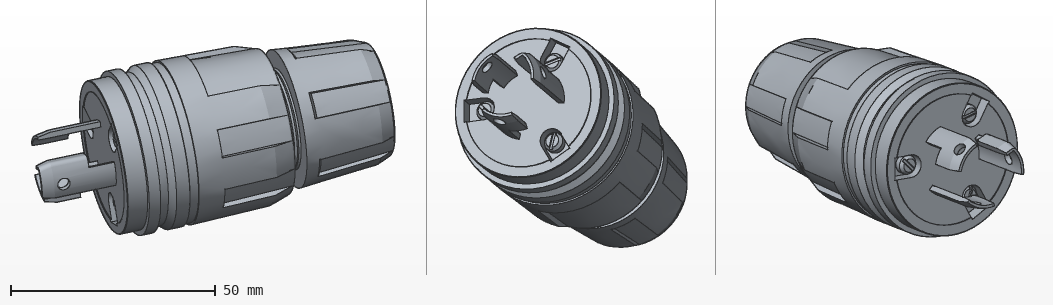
import cadquery as cq
import math


TURN_AXIS = (0, -1, 0)
ORIGIN = (0, 0, 0)

body_radius = 20.5
barrel_radius = 19.2
groove_radius = 20.1
face_chamfer = 0.2
flange_start = 5.15
flange_end = 8.1
shoulder_start = 10.5
shoulder_end = 12.2
groove_start = 15.6
groove_end = 17.9
grip_start = 24.6
pad_bevel_start = 38.1
pad_bevel_radius = 20.0
body_end_radius = 18.4
body_end = 43.3
body_lip = 0.35
body_edge_chamfer = 0.2

thread_radius = 12.8
thread_depth = 0.5
thread_pitch = 1.1
thread_start = 43.0
cap_start = 46.6

cap_end = 70.35
cap_radius = 17.3
cap_bevel_start = 66.6
cap_bevel_radius = 15.6
cap_end_radius = 14.3
cap_edge_chamfer = 0.35

body_recesses = ((160, 20), (205, 20), (250, 65))
body_floor_radius = 19.1
cap_recess_count = 6
cap_recess_angle = 22.5
cap_recess_start = 49.7
cap_recess_slope = 1.0
cap_floor_radius = 16.0
clearance = 4.4

face_radius = 16.4
face_depth = 0.3
screw_angles = (60, 180, 300)
screw_circle = 11.8
pocket_width = 5.7
pocket_outer = 16.8
pocket_depth = 3.55
screw_radius = 2.4
screw_top_radius = 1.7
screw_bevel = 0.9
screw_height = 2.5
slot_width = 0.8
slot_depth = 0.5
slot_tilt = -45

blade_outer = 9.4
blade_thickness = 1.4
blade_inner = blade_outer - blade_thickness
blade_root = 1.8
blade_taper = 3.0
tip_inset = 0.7
tip_end_inset = 0.3
line_length = 15.7
line_notch = 6.6
line_angle = 59
line_blades = ((111, 33), (225.5, 29.5))
overall_length = 88.8
ground_length = overall_length - cap_end
ground_notch = 6.2
ground_start = -7.5
ground_stem_angle = 40
leg_direction = 206.5
leg_side = leg_direction - 90
leg_offset = 3.8
leg_end = -5.2
leg_corner_radius = 1.3
hole_diameter = 3.1
hole_y = -13.1
hole_margin = 1.8
hole_angles = (15, 135, 255)


def revolved(points, angle=360, start=0):
    """Turn a (radius, y) outline about the plug axis, beginning at angle start."""
    solid = cq.Workplane("XY").polyline(points).close().revolve(angle, ORIGIN, TURN_AXIS)
    return solid.rotate(ORIGIN, TURN_AXIS, start)


def make_body():
    return revolved([
        (0, 0),
        (barrel_radius - face_chamfer, 0),
        (barrel_radius, face_chamfer),
        (barrel_radius, flange_start),
        (body_radius, flange_start),
        (body_radius, flange_end),
        (barrel_radius, flange_end),
        (barrel_radius, shoulder_start),
        (body_radius, shoulder_end),
        (body_radius, groove_start),
        (groove_radius, groove_start),
        (groove_radius, groove_end),
        (body_radius, groove_end),
        (pad_bevel_radius, pad_bevel_start),
        (body_end_radius, body_end - body_lip),
        (body_end_radius - body_edge_chamfer, body_end),
        (0, body_end),
    ])


def make_thread():
    """Ring-shaped V threads bridging the gap between the body and the cap."""
    root_radius = thread_radius - thread_depth
    ridges = math.ceil((cap_start - thread_start) / thread_pitch)
    points = [(0, thread_start), (root_radius, thread_start)]
    for ridge in range(ridges):
        y = thread_start + ridge * thread_pitch
        points.append((thread_radius, y + thread_pitch / 2))
        points.append((root_radius, y + thread_pitch))
    points.append((0, thread_start + ridges * thread_pitch))
    return revolved(points)


def make_cap():
    return revolved([
        (0, cap_start),
        (cap_radius, cap_start),
        (cap_bevel_radius, cap_bevel_start),
        (cap_end_radius, cap_end - cap_edge_chamfer),
        (cap_end_radius - cap_edge_chamfer, cap_end),
        (0, cap_end),
    ])


def body_recess(start, angle):
    outside = body_radius + clearance
    return revolved([
        (body_floor_radius, grip_start),
        (outside, grip_start),
        (outside, body_end),
        (body_end_radius, body_end),
    ], angle, start)


def cap_recess(start):
    outside = cap_radius + clearance
    floor_start = cap_recess_start + cap_recess_slope
    return revolved([
        (cap_floor_radius, floor_start),
        (cap_radius, cap_recess_start),
        (outside, cap_recess_start),
        (outside, cap_end),
        (cap_end_radius, cap_end),
    ], cap_recess_angle, start)


def screw_pocket():
    """Cutter on +X: a pocket with a round inner end, less the slotted screw head inside it."""
    plane = cq.Workplane("XZ", origin=(screw_circle, pocket_depth, 0))
    pocket = plane.circle(pocket_width / 2).extrude(pocket_depth)
    reach = pocket_outer - screw_circle
    pocket = pocket.union(plane.center(reach / 2, 0).rect(reach, pocket_width).extrude(pocket_depth))

    head = plane.circle(screw_radius).extrude(screw_height)
    head = head.faces("<Y").chamfer(screw_bevel, screw_radius - screw_top_radius)
    slot = plane.workplane(offset=screw_height - slot_depth)
    slot = slot.transformed(rotate=(0, 0, slot_tilt)).rect(2 * screw_radius, slot_width).extrude(slot_depth)
    return pocket.cut(head.cut(slot))


def polar(radius, angle, y):
    """Point at a radius and an angle in degrees about the plug axis."""
    turn = math.radians(angle)
    return cq.Vector(radius * math.cos(turn), y, radius * math.sin(turn))


def arc(radius, first, last, y):
    middle = (first + last) / 2
    return cq.Edge.makeThreePointArc(
        polar(radius, first, y), polar(radius, middle, y), polar(radius, last, y))


def line_outline(start, y, inset=0, end_inset=0):
    """Curved strip; inset trims its outer side and end_inset its two ends."""
    outer = blade_outer - inset
    trim = math.degrees(end_inset / blade_outer)
    first = start + trim
    last = start + line_angle - trim
    return cq.Wire.assembleEdges([
        arc(outer, first, last, y),
        cq.Edge.makeLine(polar(outer, last, y), polar(blade_inner, last, y)),
        arc(blade_inner, last, first, y),
        cq.Edge.makeLine(polar(blade_inner, first, y), polar(outer, first, y)),
    ])


def leg_point(along, offset, y):
    return polar(along, leg_direction, y) + polar(offset, leg_side, 0)


def ground_outline(start, y, inset=0, end_inset=0):
    """Curved strip that turns into the flat leg through a rounded outer corner."""
    outer = blade_outer - inset
    outer_offset = leg_offset - inset
    inner_offset = leg_offset - blade_thickness
    first = start + math.degrees(end_inset / blade_outer)
    outer_corner = leg_side - math.degrees(math.acos(outer_offset / outer))
    inner_corner = leg_side - math.degrees(math.acos(inner_offset / blade_inner))
    outer_end = leg_point(leg_end - end_inset, outer_offset, y)
    inner_end = leg_point(leg_end - end_inset, inner_offset, y)
    outline = cq.Wire.assembleEdges([
        arc(outer, first, outer_corner, y),
        cq.Edge.makeLine(polar(outer, outer_corner, y), outer_end),
        cq.Edge.makeLine(outer_end, inner_end),
        cq.Edge.makeLine(inner_end, polar(blade_inner, inner_corner, y)),
        arc(blade_inner, inner_corner, first, y),
        cq.Edge.makeLine(polar(blade_inner, first, y), polar(outer, first, y)),
    ])
    corner = polar(outer, outer_corner, y)
    vertex = min(outline.Vertices(), key=lambda v: (v.Center() - corner).Length)
    return outline.fillet2D(leg_corner_radius, [vertex])


def blade(outline, start, stem_angle, notch, length):
    """Narrow stem at the face, then a full-width head with a tapered tip."""
    stem = revolved([
        (blade_inner, blade_root),
        (blade_outer, blade_root),
        (blade_outer, -notch),
        (blade_inner, -notch),
    ], stem_angle, start)
    taper_start = blade_taper - length
    base = outline(start, taper_start)
    head = cq.Solid.extrudeLinear(base, [], cq.Vector(0, -notch - taper_start, 0))
    tip = cq.Solid.makeLoft([base, outline(start, -length, tip_inset, tip_end_inset)], True)
    return stem.union(cq.Workplane(head)).union(cq.Workplane(tip))


def blade_hole(angle):
    hole = cq.Workplane("YZ", origin=(blade_inner - hole_margin, hole_y, 0))
    hole = hole.circle(hole_diameter / 2).extrude(blade_thickness + 2 * hole_margin)
    return hole.rotate(ORIGIN, TURN_AXIS, angle)


result = make_body().union(make_thread()).union(make_cap())

for half_turn in (0, 180):
    for start, angle in body_recesses:
        result = result.cut(body_recess(start + half_turn, angle))
cap_recess_step = 360 / cap_recess_count
for i in range(cap_recess_count):
    result = result.cut(cap_recess(i * cap_recess_step - cap_recess_angle))

result = result.cut(cq.Workplane("XZ").circle(face_radius).extrude(-face_depth))
for angle in screw_angles:
    result = result.cut(screw_pocket().rotate(ORIGIN, TURN_AXIS, angle))

for start, stem_angle in line_blades:
    result = result.union(blade(line_outline, start, stem_angle, line_notch, line_length))
result = result.union(blade(ground_outline, ground_start, ground_stem_angle, ground_notch, ground_length))
for angle in hole_angles:
    result = result.cut(blade_hole(angle))